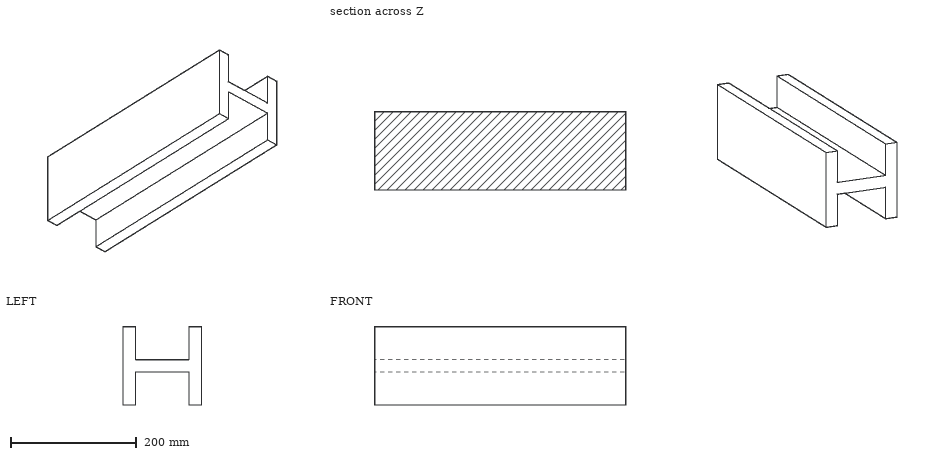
import cadquery as cq

length = 400.0
section_width = 125.0
flange_height = 125.0
flange_thickness = 20.0
web_thickness = 20.0

flange_offset = (section_width - flange_thickness) / 2
web_width = section_width - 2 * flange_thickness


def flange(side):
    """Upright plate on the +Y (side = 1) or -Y (side = -1) edge of the section."""
    plate = cq.Workplane("XY").box(length, flange_thickness, flange_height)
    return plate.translate((0, side * flange_offset, 0))


def web():
    """Horizontal plate joining the two flanges at mid-height."""
    return cq.Workplane("XY").box(length, web_width, web_thickness)


result = web()
for side in (-1, 1):
    result = result.union(flange(side))